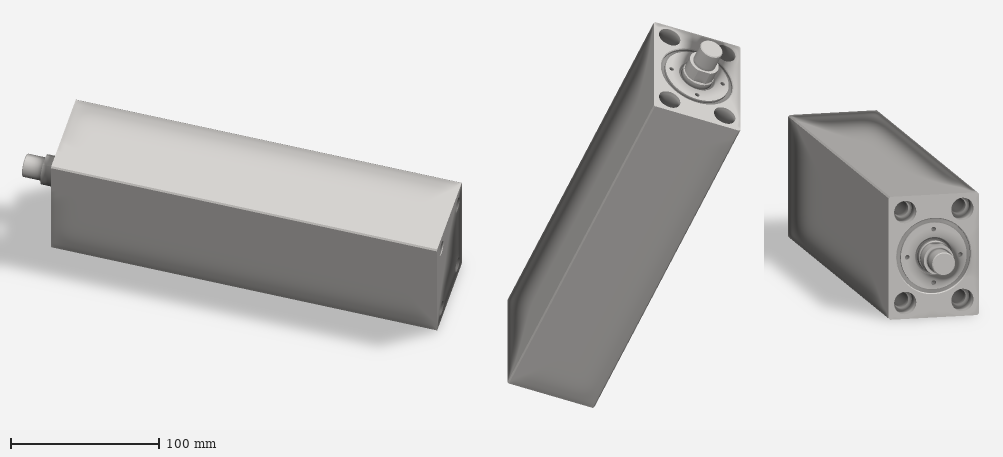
import cadquery as cq


overall_length = 298.0
block_width = 63.0
block_height = 85.0
edge_chamfer = 1.0

thread_diameter = 16.0
thread_length = 13.7
wrench_diameter = 21.0
wrench_length = 9.8
wrench_flats = 19.0
shank_diameter = 22.4
shank_reach = 3.5
rod_chamfer = 0.5

rod_reach = thread_length + wrench_length + shank_reach
block_length = overall_length - rod_reach

bolt_spacing_y = 40.0
bolt_spacing_z = 63.0
bolt_hole_diameter = 10.5
bolt_head_diameter = 15.5
bolt_head_depth = 12.0

gland_diameter = 51.5
gland_face_diameter = 46.0
gland_length = 29.8
gland_shoulder_depth = 2.0
bore_chamfer = 0.5
spanner_hole_count = 4
spanner_hole_circle = 37.0
spanner_hole_diameter = 3.3
spanner_hole_depth = 3.0
spanner_hole_point = 1.0

wiper_diameter = 26.2
wiper_length = 4.5
wiper_lip_diameter = 23.8
wiper_lip_depth = 1.2


def cylinder(diameter, start, end):
    """Solid cylinder on the X axis between two x positions."""
    return cq.Workplane("YZ", origin=(start, 0, 0)).circle(diameter / 2).extrude(end - start)


def cone(start_diameter, end_diameter, start, end):
    """Solid cone or truncated cone on the X axis between two x positions."""
    solid = cq.Solid.makeCone(
        start_diameter / 2, end_diameter / 2, end - start, cq.Vector(start, 0, 0), cq.Vector(1, 0, 0)
    )
    return cq.Workplane(solid)


def make_block():
    block = (
        cq.Workplane("YZ")
        .rect(block_width, block_height)
        .extrude(block_length)
        .edges("|X")
        .chamfer(edge_chamfer)
    )
    bolt_holes = (
        cq.Workplane("YZ")
        .rect(bolt_spacing_y, bolt_spacing_z, forConstruction=True)
        .vertices()
    )
    block = block.cut(bolt_holes.circle(bolt_hole_diameter / 2).extrude(block_length))
    block = block.cut(bolt_holes.circle(bolt_head_diameter / 2).extrude(bolt_head_depth))

    bore_mouth_diameter = gland_diameter + 2 * bore_chamfer
    block = block.cut(cylinder(gland_diameter, 0, gland_length))
    return block.cut(cone(bore_mouth_diameter, gland_diameter, 0, bore_chamfer))


def make_gland():
    gland = cylinder(gland_diameter, gland_shoulder_depth, gland_length)
    gland = gland.union(cylinder(gland_face_diameter, 0, gland_length))
    gland = gland.cut(cylinder(shank_diameter, 0, gland_length))
    gland = gland.cut(cylinder(wiper_diameter, 0, wiper_length))
    drill = cylinder(spanner_hole_diameter, 0, spanner_hole_depth)
    drill_tip = spanner_hole_depth + spanner_hole_point
    drill = drill.union(cone(spanner_hole_diameter, 0, spanner_hole_depth, drill_tip))
    drill = drill.translate((0, 0, spanner_hole_circle / 2))
    for index in range(spanner_hole_count):
        angle = index * 360 / spanner_hole_count
        gland = gland.cut(drill.rotate((0, 0, 0), (1, 0, 0), angle))
    return gland


def make_wiper():
    wiper = cylinder(wiper_diameter, 0, wiper_length)
    wiper = wiper.cut(cylinder(shank_diameter, 0, wiper_length))
    return wiper.cut(cone(wiper_diameter, wiper_lip_diameter, 0, wiper_lip_depth))


def make_rod():
    wrench_start = -shank_reach - wrench_length
    thread = cylinder(thread_diameter, -rod_reach, wrench_start).faces("<X").chamfer(rod_chamfer)
    shank = cylinder(shank_diameter, -shank_reach, gland_length).faces("<X").chamfer(rod_chamfer)
    flats = (
        cq.Workplane("YZ", origin=(wrench_start, 0, 0))
        .rect(wrench_diameter, wrench_flats)
        .extrude(wrench_length)
    )
    wrench_section = cylinder(wrench_diameter, wrench_start, -shank_reach).intersect(flats)
    return thread.union(wrench_section).union(shank)


block = make_block()
gland = make_gland()
wiper = make_wiper()
rod = make_rod()

result = cq.Compound.makeCompound([block.val(), gland.val(), wiper.val(), rod.val()])